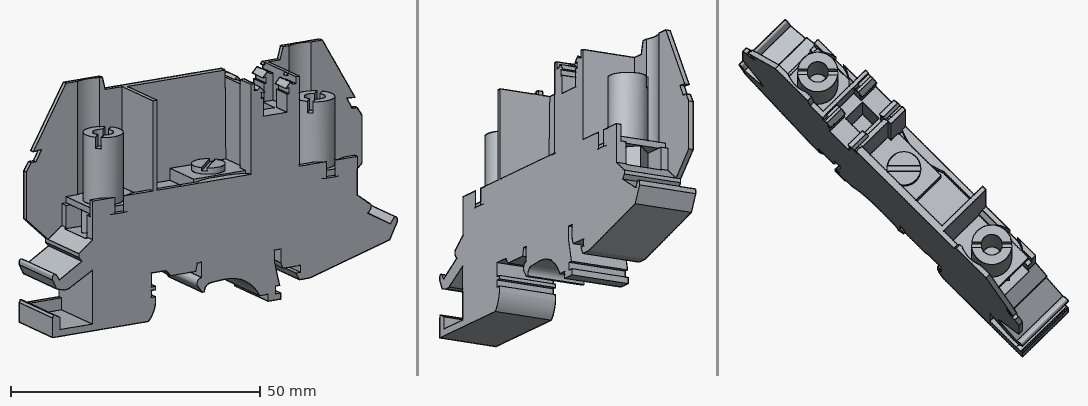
import cadquery as cq
import math


WIDTH = 13.0
HALF_LENGTH = 40.4
HEIGHT = 48.6
PLATE = 1.05
RIM_Z = 45.95

SILL_Z = 16.6
RAMP_TOP_Z = 19.05
LEDGE_Z = 23.7
SHELF_Z = 24.95
END_Y = 31.0
SHELF_END_Y = 30.0
SILL_Y = 34.2
WALL_Z = 27.1
WALL_INNER_X = 11.95

HOOK_TIP_RADIUS = 0.5
HOOK_TIP_Z = 12.7

CHANNEL_Y = 11.8
CHANNEL_HALF = 2.75
CHANNEL_FLOOR_Z = 38.85
CLIP_GROOVE_HALF = 4.85
LIP_Z = 45.5
GROOVE_Z = 44.5
CLIP_BAND = 4.1
BAR_HOLE_HALF = 2.35

REAR_WALL_Y = (CHANNEL_Y + CLIP_GROOVE_HALF, 17.45)
MID_WALL_Y = (CHANNEL_Y - CLIP_GROOVE_HALF, 8.0)
MID_WALL_STEP = 0.9
FRONT_WALL_Y = (-16.9, -15.9)

SCREW_X = 6.8
SCREW_Y = 24.8
SCREW_RADIUS = 4.0
SCREW_BORE_RADIUS = 2.1
SCREW_TOP_Z = 39.1
SLOT_WIDTH = 1.1
SLOT_DEPTH = 2.35
SLOT_ANGLE = -45.0
CLEARANCE_RADIUS = 6.3
FILLER_X = 11.0
FILLER_LOW_Z = 25.8

ENTRY_FLOOR_Z = 18.8
ENTRY_TIP_Y = 29.9

LINER_TOP_X = 1.5
LINER_FOOT_X = 1.85
BLOCK_TOP_Z = 27.45
BLOCK_X = 11.0
BLOCK_Y = (-6.1, MID_WALL_Y[0])
BULGE_RADIUS = 14.5
BULGE_DEPTH = 1.2
MID_SCREW_X = 6.55
MID_SCREW_RADIUS = 3.4
MID_SCREW_HEIGHT = 1.3
MID_SLOT_DEPTH = 0.65

TRAY_FLOOR_Z = 1.45
TRAY_RIM_Z = 3.95
TRAY_LIP_Y = 38.6
TRAY_BACK_Y = 31.1


def box(x_range, y_range, z_range):
    """Axis-aligned box between the given limits."""
    size = [high - low for low, high in (x_range, y_range, z_range)]
    return cq.Workplane("XY").box(*size, centered=False).translate((x_range[0], y_range[0], z_range[0]))


def cylinder(x, y, radius, z_range):
    """Upright cylinder between two heights."""
    height = z_range[1] - z_range[0]
    return cq.Workplane("XY", origin=(x, y, z_range[0])).circle(radius).extrude(height)


def slot_bar(x, y, length, z_range):
    """Bar at the screwdriver slot angle, centred on a screw."""
    bar = box((-length / 2, length / 2), (-SLOT_WIDTH / 2, SLOT_WIDTH / 2), z_range)
    return bar.rotate((0, 0, 0), (0, 0, 1), SLOT_ANGLE).translate((x, y, 0))


CLIP = [
    (4.8, RIM_Z), (4.4, LIP_Z), (CLIP_GROOVE_HALF, LIP_Z),
    (CLIP_GROOVE_HALF, GROOVE_Z), (4.2, GROOVE_Z),
    (3.55, 45.05), (2.4, 43.85), (3.2, 43.85), (3.2, 42.6), (CHANNEL_HALF, 42.6),
    (CHANNEL_HALF, CHANNEL_FLOOR_Z),
]

END = [
    (30.0, HEIGHT), (37.7, 35.45), (35.8, 35.6), (37.1, 33.3), (38.2, 33.3), (39.3, 31.5),
    (39.3, 21.5), (SILL_Y, SILL_Z), (SILL_Y, 15.8), (33.5, 14.9), (38.8, 11.9),
]


def hook_tip(side, angle):
    """Point on the rounded hook tip; the angle runs upwards from the outermost point."""
    turn = math.radians(angle)
    y = HALF_LENGTH - HOOK_TIP_RADIUS * (1 - math.cos(turn))
    return (side * y, HOOK_TIP_Z + HOOK_TIP_RADIUS * math.sin(turn))


def side_profile():
    """Closed outline of the whole housing seen along X."""
    profile = cq.Workplane("YZ").moveTo(CHANNEL_Y - CHANNEL_HALF, CHANNEL_FLOOR_Z)
    for offset, z in reversed(CLIP[:-1]):
        profile = profile.lineTo(CHANNEL_Y - offset, z)
    profile = profile.lineTo(-20.8, RIM_Z).lineTo(-21.5, HEIGHT)

    for y, z in END:
        profile = profile.lineTo(-y, z)
    profile = (
        profile.lineTo(*hook_tip(-1, 135))
        .threePointArc(hook_tip(-1, 60), hook_tip(-1, 0))
        .lineTo(-HALF_LENGTH, 12.0)
        .lineTo(-39.4, 10.0)
        .lineTo(-37.55, 9.5)
        .lineTo(-36.6, 9.7)
        .lineTo(-TRAY_BACK_Y, 12.7)
    )

    profile = (
        profile.lineTo(-TRAY_BACK_Y, TRAY_RIM_Z)
        .lineTo(-TRAY_LIP_Y, TRAY_RIM_Z)
        .lineTo(-39.9, 4.7)
        .lineTo(-40.1, 4.7)
        .lineTo(-HALF_LENGTH, 4.1)
        .lineTo(-HALF_LENGTH, 0)
        .lineTo(-17.9, 0)
        .threePointArc((-16.7, 1.85), (-16.2, 3.7))
        .lineTo(-16.2, 4.9)
        .lineTo(-17.2, 4.9)
        .lineTo(-17.2, 6.4)
        .lineTo(-16.2, 6.4)
        .lineTo(-16.2, 7.1)
        .lineTo(-17.2, 7.1)
        .lineTo(-17.2, 10.0)
        .lineTo(-13.8, 10.0)
        .lineTo(-12.7, 8.8)
        .lineTo(-6.9, 8.8)
        .lineTo(-6.5, 10.5)
    )

    profile = (
        profile.lineTo(-5.5, 10.5)
        .lineTo(-5.5, 7.35)
        .threePointArc((-6.5, 6.6), (-6.1, 5.3))
        .lineTo(-5.3, 4.2)
        .lineTo(-4.8, 4.2)
        .threePointArc((-4.4, 5.4), (-3.4, 5.9))
        .lineTo(0.0, 6.1)
        .threePointArc((4.8, 5.0), (8.15, 1.45))
        .lineTo(10.1, 1.45)
        .lineTo(10.1, 0)
        .lineTo(13.1, 0)
        .lineTo(13.1, 1.3)
        .lineTo(11.9, 1.3)
        .lineTo(11.9, 2.9)
        .lineTo(12.8, 2.9)
        .lineTo(11.6, 7.8)
        .lineTo(11.6, 10.5)
        .lineTo(13.1, 10.5)
    )

    profile = (
        profile.lineTo(13.1, 7.6)
        .lineTo(13.6, 6.4)
        .lineTo(17.7, 6.4)
        .lineTo(17.7, 4.9)
        .lineTo(16.6, 4.9)
        .lineTo(17.45, 3.4)
        .lineTo(19.9, 3.4)
        .lineTo(38.6, 8.55)
        .lineTo(HALF_LENGTH, 12.0)
        .lineTo(*hook_tip(1, 0))
        .threePointArc(hook_tip(1, 60), hook_tip(1, 135))
    )

    for y, z in reversed(END):
        profile = profile.lineTo(y, z)
    profile = profile.lineTo(20.8, HEIGHT).lineTo(20.1, RIM_Z)
    for offset, z in CLIP:
        profile = profile.lineTo(CHANNEL_Y + offset, z)
    return profile.close()


def full_width_body():
    """Body below the shelf, with a ramp at each end rising from the hooks."""
    keep = (
        cq.Workplane("YZ")
        .moveTo(-HALF_LENGTH, 0)
        .lineTo(-HALF_LENGTH, SILL_Z)
        .lineTo(-SILL_Y, SILL_Z)
        .lineTo(-END_Y, RAMP_TOP_Z)
        .lineTo(-END_Y, LEDGE_Z)
        .lineTo(END_Y, LEDGE_Z)
        .lineTo(END_Y, RAMP_TOP_Z)
        .lineTo(SILL_Y, SILL_Z)
        .lineTo(HALF_LENGTH, SILL_Z)
        .lineTo(HALF_LENGTH, 0)
        .close()
        .extrude(WIDTH)
    )
    tray = box((PLATE, WIDTH), (-TRAY_LIP_Y, -TRAY_BACK_Y), (TRAY_FLOOR_Z, TRAY_RIM_Z))
    return side_profile().extrude(WIDTH).intersect(keep).cut(tray)


def clip_channel():
    """Raised floor, bar hole, partitions and the two rows of clip fingers."""
    span = (MID_WALL_Y[0], REAR_WALL_Y[1])
    floor = box((0, WIDTH), span, (LEDGE_Z, CHANNEL_FLOOR_Z))
    bar_hole = box(
        (CLIP_BAND, WIDTH - CLIP_BAND),
        (CHANNEL_Y - BAR_HOLE_HALF, CHANNEL_Y + BAR_HOLE_HALF),
        (SHELF_Z, CHANNEL_FLOOR_Z),
    )
    channel = floor.cut(bar_hole)
    fingers = side_profile().extrude(WIDTH).intersect(box((0, WIDTH), span, (LEDGE_Z, RIM_Z)))
    fingers = fingers.cut(box((CLIP_BAND, WIDTH - CLIP_BAND), span, (LEDGE_Z, RIM_Z)))
    groove_span = (CHANNEL_Y - CLIP_GROOVE_HALF, CHANNEL_Y + CLIP_GROOVE_HALF)
    for lip_end, band_end in ((PLATE, CLIP_BAND), (WIDTH - CLIP_BAND + PLATE, WIDTH)):
        fingers = fingers.cut(box((lip_end, band_end), groove_span, (LIP_Z, RIM_Z)))
    channel = channel.union(fingers)
    channel = channel.union(box((PLATE, WIDTH), REAR_WALL_Y, (LEDGE_Z, RIM_Z)))
    return channel.union(box((PLATE, WIDTH), MID_WALL_Y, (LEDGE_Z, GROOVE_Z)))


def middle_compartment():
    """Space between the two inner partitions: tapered liner, outer wall, block and screw."""
    span = (FRONT_WALL_Y[1], MID_WALL_Y[0])
    length = span[1] - span[0]
    floor = box((0, WIDTH), span, (LEDGE_Z, SHELF_Z))
    liner = (
        cq.Workplane("XZ", origin=(0, span[1], 0))
        .polyline([(0, SHELF_Z), (LINER_FOOT_X, SHELF_Z), (LINER_TOP_X, RIM_Z), (0, RIM_Z)])
        .close()
        .extrude(length)
    )
    outer_wall = box((WALL_INNER_X, WIDTH), span, (SHELF_Z, WALL_Z))
    bulge_x = WALL_INNER_X - BULGE_DEPTH + BULGE_RADIUS
    bulge = cylinder(bulge_x, 0, BULGE_RADIUS, (SHELF_Z, WALL_Z))
    bulge = bulge.intersect(box((0, WIDTH), span, (SHELF_Z, WALL_Z)))
    block = box((LINER_TOP_X, BLOCK_X), BLOCK_Y, (SHELF_Z, BLOCK_TOP_Z))
    head_top = BLOCK_TOP_Z + MID_SCREW_HEIGHT
    head = cylinder(MID_SCREW_X, 0, MID_SCREW_RADIUS, (BLOCK_TOP_Z, head_top))
    slot = slot_bar(MID_SCREW_X, 0, 2 * MID_SCREW_RADIUS, (head_top - MID_SLOT_DEPTH, head_top))
    corner_post = box(
        (WIDTH - CLIP_BAND, WIDTH), (MID_WALL_Y[0] - MID_WALL_STEP, MID_WALL_Y[0]), (LEDGE_Z, RIM_Z)
    )
    compartment = floor.union(liner).union(outer_wall).union(bulge).union(block)
    return compartment.union(head.cut(slot)).union(corner_post)


def clamp_shelf(side, inner_y):
    """Shelf, low outer wall and sloped filler; side is the sign of Y."""
    def span(start, end):
        return tuple(sorted((side * start, side * end)))

    shelf = box((0, WALL_INNER_X), span(inner_y, SHELF_END_Y), (LEDGE_Z, SHELF_Z))
    wall = box((WALL_INNER_X, WIDTH), span(inner_y, END_Y), (LEDGE_Z, WALL_Z))
    filler_span = span(inner_y, SCREW_Y)
    filler_high_z = FILLER_LOW_Z + WALL_INNER_X - FILLER_X
    filler = (
        cq.Workplane("XZ", origin=(0, filler_span[1], 0))
        .moveTo(FILLER_X, SHELF_Z)
        .lineTo(WALL_INNER_X, SHELF_Z)
        .lineTo(WALL_INNER_X, filler_high_z)
        .lineTo(FILLER_X, FILLER_LOW_Z)
        .close()
        .extrude(filler_span[1] - filler_span[0])
    )
    clearance = cylinder(SCREW_X, side * SCREW_Y, CLEARANCE_RADIUS, (LEDGE_Z, HEIGHT))
    return wall.union(filler).cut(clearance).union(shelf)


def wire_entry(side):
    """Pocket under the shelf whose inner end is a right-angled wedge pointing outwards."""
    wedge_foot_y = ENTRY_TIP_Y - SCREW_RADIUS
    return (
        cq.Workplane("XY", origin=(SCREW_X, 0, ENTRY_FLOOR_Z))
        .moveTo(-SCREW_RADIUS, side * HALF_LENGTH)
        .lineTo(-SCREW_RADIUS, side * wedge_foot_y)
        .lineTo(0, side * ENTRY_TIP_Y)
        .lineTo(SCREW_RADIUS, side * wedge_foot_y)
        .lineTo(SCREW_RADIUS, side * HALF_LENGTH)
        .close()
        .extrude(LEDGE_Z - ENTRY_FLOOR_Z)
    )


def clamp_screw(side):
    """Hollow slotted screw standing on the shelf."""
    y = side * SCREW_Y
    slot_z = (SCREW_TOP_Z - SLOT_DEPTH, SCREW_TOP_Z)
    screw = cylinder(SCREW_X, y, SCREW_RADIUS, (SHELF_Z, SCREW_TOP_Z))
    bore = cylinder(SCREW_X, y, SCREW_BORE_RADIUS, (SHELF_Z, SCREW_TOP_Z))
    return screw.cut(bore).cut(slot_bar(SCREW_X, y, 2 * SCREW_RADIUS, slot_z))


result = side_profile().extrude(PLATE)
for side in (1, -1):
    recess = cylinder(SCREW_X, side * SCREW_Y, CLEARANCE_RADIUS, (SHELF_Z, HEIGHT))
    result = result.cut(recess)
result = result.union(full_width_body())
result = result.union(clip_channel())
result = result.union(box((0, WIDTH), FRONT_WALL_Y, (LEDGE_Z, RIM_Z)))
result = result.union(middle_compartment())
for side, inner_y in ((1, REAR_WALL_Y[1]), (-1, -FRONT_WALL_Y[0])):
    result = result.union(clamp_shelf(side, inner_y))
    result = result.union(clamp_screw(side))
    result = result.cut(wire_entry(side))